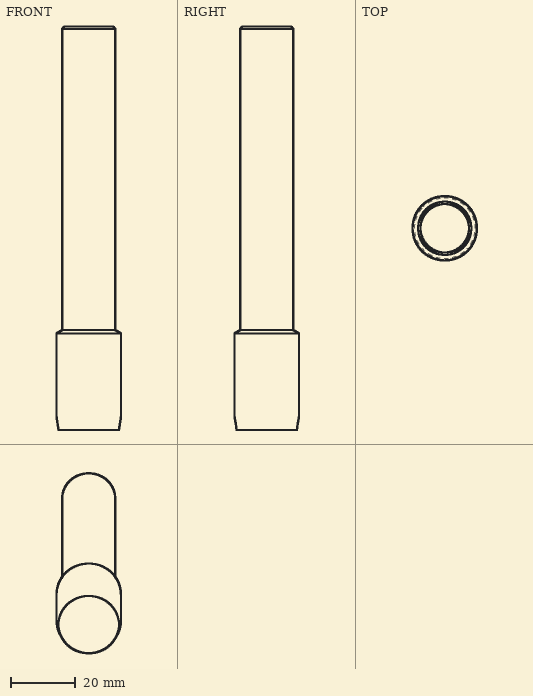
import cadquery as cq

total_height = 125.0
sleeve_radius = 10.0
shaft_radius = 8.2

sleeve_height = 31.0
shoulder_height = 1.0
lead_in_height = 4.0
sleeve_bottom_radius = 9.4

shaft_chamfer = 0.8


def make_sleeve():
    """Turned base whose conical shoulder runs up to the shaft diameter."""
    profile = (
        cq.Workplane("XZ")
        .lineTo(sleeve_bottom_radius, 0)
        .lineTo(sleeve_radius, lead_in_height)
        .lineTo(sleeve_radius, sleeve_height - shoulder_height)
        .lineTo(shaft_radius, sleeve_height)
        .lineTo(0, sleeve_height)
        .close()
    )
    return profile.revolve(360, (0, 0, 0), (0, 1, 0))


def make_shaft():
    """Plain round shaft standing on the sleeve, chamfered at its top end."""
    return (
        cq.Workplane("XY", origin=(0, 0, sleeve_height))
        .circle(shaft_radius)
        .extrude(total_height - sleeve_height)
        .faces(">Z")
        .chamfer(shaft_chamfer)
    )


sleeve = make_sleeve()
shaft = make_shaft()

result = cq.Compound.makeCompound([sleeve.val(), shaft.val()])